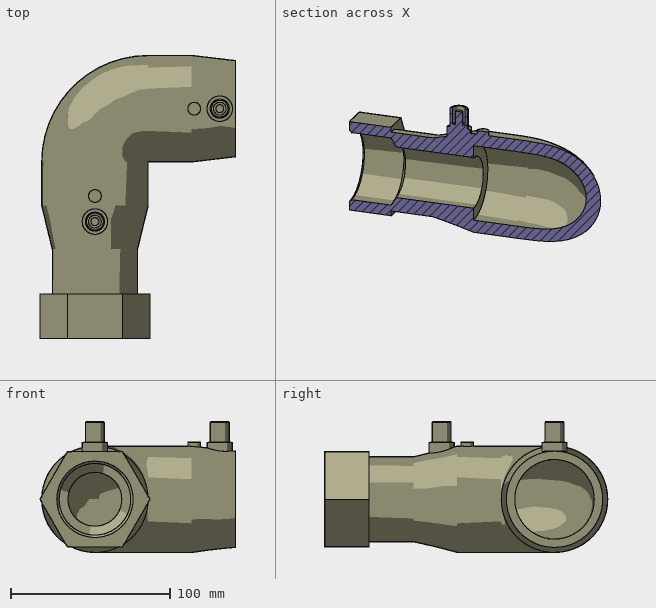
import cadquery as cq
import math

body_radius = 33.5
bore_radius = 25.0
bend_clearance = 0.01
bend_radius = body_radius + bend_clearance

straight_length = 27.5
outlet_radius = 30.25
straight_end = bend_radius + straight_length
outlet_end = 88.5

taper_length = 27.5
spigot_radius = 26.8
spigot_length = 28.0
nut_length = 28.0
nut_flats = 60.0
nut_corners = nut_flats / math.cos(math.pi / 6)
taper_end = straight_end + taper_length
nut_start = taper_end + spigot_length
nut_end = nut_start + nut_length

inlet_passage_radius = 16.9
inlet_bore_radius = 22.5
inlet_mouth_radius = 24.0
mouth_chamfer = inlet_mouth_radius - inlet_bore_radius
inlet_bore_depth = nut_length
inlet_cone_half_angle = 60.0
inlet_cone_length = (inlet_bore_radius - inlet_passage_radius) / math.tan(math.radians(inlet_cone_half_angle))
inlet_cone_outer = nut_end - inlet_bore_depth
inlet_cone_inner = inlet_cone_outer - inlet_cone_length

terminal_top = 49.0
terminal_radius = 6.0
terminal_chamfer = 0.7
collar_top = 36.1
collar_radius = 8.0
collar_slope_rise = 0.5
socket_radius = 4.0
socket_depth = 11.0
pin_radius = 2.5
pin_rounding = 0.4
pin_recess = 2.0
indicator_radius = 4.0
indicator_top = 35.9
indicator_spacing = 16.1
fitting_base = 27.0
outlet_terminal_x = 78.5
inlet_terminal_y = -71.0


def turned(profile):
    """Solid of revolution about the X axis from (distance, radius) points, made as two halves."""
    start = (profile[0][0], 0)
    end = (profile[-1][0], 0)
    half = cq.Workplane("XY").polyline([start, *profile, end]).close().revolve(180, (0, 0, 0), (1, 0, 0))
    return half.union(half.mirror("XY"), clean=False)


def along_inlet(solid):
    """Swing a solid made along +X round to the -Y direction."""
    return solid.rotate((0, 0, 0), (0, 0, 1), -90)


def bend(radius):
    """Quarter torus joining the -Y arm to the +X arm, made as an upper and a lower half."""
    upper = (
        cq.Workplane("XZ", origin=(0, -bend_radius, 0))
        .moveTo(-radius, 0)
        .threePointArc((0, radius), (radius, 0))
        .close()
        .revolve(90, (bend_radius, 0, 0), (bend_radius, -1, 0))
    )
    return upper.union(upper.mirror("XY"), clean=False)


def outlet_arm():
    return turned([(bend_radius, body_radius), (straight_end, body_radius), (outlet_end, outlet_radius)])


def inlet_arm():
    profile = [
        (bend_radius, body_radius),
        (straight_end, body_radius),
        (taper_end, spigot_radius),
        (nut_start, spigot_radius),
    ]
    return along_inlet(turned(profile))


def nut():
    return cq.Workplane("XZ", origin=(0, -nut_start, 0)).polygon(6, nut_corners).extrude(nut_length)


def outlet_bore():
    return turned([(bend_radius, bore_radius), (outlet_end, bore_radius)])


def inlet_bore():
    profile = [
        (bend_radius, bore_radius),
        (straight_end, bore_radius),
        (straight_end, inlet_passage_radius),
        (inlet_cone_inner, inlet_passage_radius),
        (inlet_cone_outer, inlet_bore_radius),
        (nut_end - mouth_chamfer, inlet_bore_radius),
        (nut_end, inlet_mouth_radius),
    ]
    return along_inlet(turned(profile))


def upright(x, y, radius, bottom, top):
    """Vertical cylinder between two heights."""
    return cq.Workplane("XY", origin=(x, y, bottom)).circle(radius).extrude(top - bottom)


def terminal(x, y):
    """Sloped collar and hollow post with a contact pin standing in its socket."""
    socket_floor = terminal_top - socket_depth
    collar_profile = [
        (0, fitting_base),
        (collar_radius, fitting_base),
        (collar_radius, collar_top - collar_slope_rise),
        (terminal_radius, collar_top),
        (0, collar_top),
    ]
    collar = cq.Workplane("XZ").polyline(collar_profile).close().revolve(360, (0, 0, 0), (0, 1, 0))
    collar = collar.translate((x, y, 0))
    post = upright(x, y, terminal_radius, fitting_base, terminal_top).faces(">Z").chamfer(terminal_chamfer)
    socket = upright(x, y, socket_radius, socket_floor, terminal_top)
    pin = upright(x, y, pin_radius, fitting_base, terminal_top - pin_recess).faces(">Z").fillet(pin_rounding)
    return collar.union(post).cut(socket).union(pin)


def indicator(x, y):
    """Round button that marks a finished weld."""
    return upright(x, y, indicator_radius, fitting_base, indicator_top)


body = bend(body_radius)
for section in [outlet_arm(), inlet_arm(), nut()]:
    body = body.union(section, clean=False)
for hollow in [bend(bore_radius), outlet_bore(), inlet_bore()]:
    body = body.cut(hollow, clean=False)

fittings = [
    terminal(outlet_terminal_x, 0),
    indicator(outlet_terminal_x - indicator_spacing, 0),
    terminal(0, inlet_terminal_y),
    indicator(0, inlet_terminal_y + indicator_spacing),
]
for fitting in fittings:
    body = body.union(fitting, clean=False)

result = body.solids()